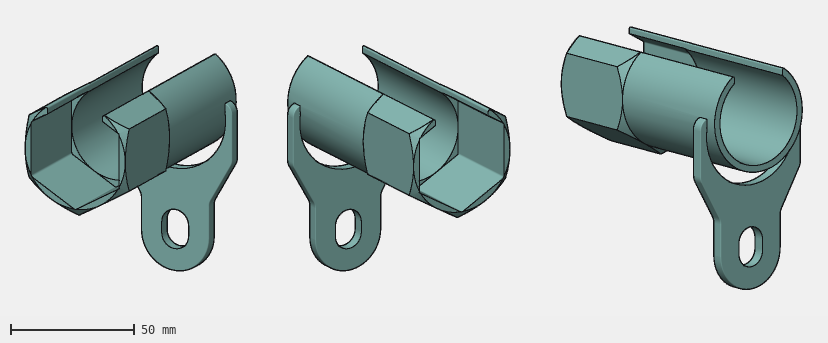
import cadquery as cq
import math

length = 100.0
head_length = 40.0
outer_flats = 45.6
outer_radius = outer_flats / 2
inner_flats = 40.0
hex_depth = 36.5
hex_corner_radius = 1.0
bore_radius = inner_flats / 2

opening_width = 25.0
lip_fillet = 0.8

plate_thickness = 5.0
plate_rear_gap = 5.0
plate_rear = length - plate_rear_gap
fork_half_width = 26.0
tip_radius = 5.0
tip_z = -3.3
tail_radius = 15.5
tail_z = -57.0
shoulder_z = -23.9
shoulder_angle = 30.0
bend_radius = 5.0
plate_edge_fillet = 0.4
relief_radius = 23.0
relief_z = -6.0
slot_width = 12.2
slot_length = 16.6
slot_z = -54.8


def section(y):
    """Sketch plane at the given Y, facing -Y, with X right and Z up."""
    return cq.Workplane("XZ", origin=(0, y, 0))


def hexagon(flats, depth):
    """Prism from Y = 0 toward +Y with two flats facing -X and +X."""
    corner_diameter = flats / math.cos(math.pi / 6)
    prism = section(0).polygon(6, corner_diameter).extrude(-depth)
    return prism.rotate((0, 0, 0), (0, 1, 0), 30)


def make_head():
    """Hexagonal head with both ends turned to 45 degree cones."""
    corner_radius = outer_radius / math.cos(math.pi / 6)
    cone_depth = corner_radius - outer_radius
    envelope = (
        section(0).circle(corner_radius).extrude(-head_length)
        .edges().chamfer(cone_depth)
    )
    return hexagon(outer_flats, head_length).intersect(envelope)


def make_socket():
    tube = section(head_length).circle(outer_radius).extrude(head_length - length)
    bore = section(0).circle(bore_radius).extrude(-length)
    body = make_head().union(tube)
    recess = hexagon(inner_flats, hex_depth).edges("|Y").fillet(hex_corner_radius)
    return body.cut(bore).cut(recess)


def make_opening():
    """Upright-walled cutter that also rounds the outer edge of both lips."""
    wall_x = opening_width / 2
    center_x = wall_x + lip_fillet
    flat_angle = math.radians(60)
    center_z = (outer_radius - lip_fillet - center_x * math.cos(flat_angle)) / math.sin(flat_angle)
    middle_angle = math.radians(120)
    middle = (
        center_x + lip_fillet * math.cos(middle_angle),
        center_z + lip_fillet * math.sin(middle_angle),
    )
    end = (
        center_x + lip_fillet * math.cos(flat_angle),
        center_z + lip_fillet * math.sin(flat_angle),
    )
    half = (
        section(0)
        .lineTo(wall_x, 0)
        .lineTo(wall_x, center_z)
        .threePointArc(middle, end)
        .lineTo(end[0], outer_flats)
        .lineTo(0, outer_flats)
        .close()
        .extrude(-length)
    )
    return half.union(half.mirror("YZ"))


def make_plate():
    flank_height = (fork_half_width - tail_radius) / math.tan(math.radians(shoulder_angle))
    neck_z = shoulder_z - flank_height
    tip_x = fork_half_width - tip_radius
    plate = (
        section(plate_rear)
        .moveTo(-tip_x, tip_z + tip_radius)
        .radiusArc((-fork_half_width, tip_z), -tip_radius)
        .lineTo(-fork_half_width, shoulder_z)
        .lineTo(-tail_radius, neck_z)
        .lineTo(-tail_radius, tail_z)
        .threePointArc((0, tail_z - tail_radius), (tail_radius, tail_z))
        .lineTo(tail_radius, neck_z)
        .lineTo(fork_half_width, shoulder_z)
        .lineTo(fork_half_width, tip_z)
        .radiusArc((tip_x, tip_z + tip_radius), -tip_radius)
        .close()
        .extrude(plate_thickness)
    )
    for z in (shoulder_z, neck_z):
        bend = cq.selectors.BoxSelector(
            (-length, 0, z - 1), (length, length, z + 1)
        )
        plate = plate.edges("|Y").edges(bend).fillet(bend_radius)
    plate = plate.faces("<Y or >Y").edges().fillet(plate_edge_fillet)
    relief = section(length).center(0, relief_z).circle(relief_radius).extrude(length)
    slot = section(length).center(0, slot_z).slot2D(slot_length, slot_width, 90).extrude(length)
    bore = section(length).circle(bore_radius).extrude(length)
    return plate.cut(relief).cut(slot).cut(bore)


result = make_socket().cut(make_opening()).union(make_plate())